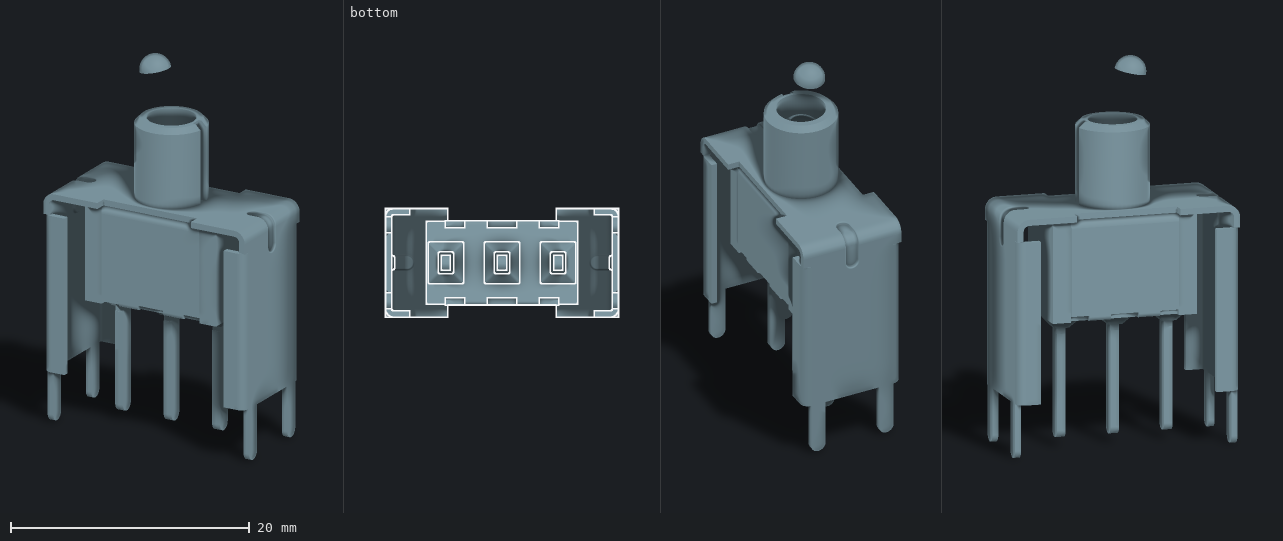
import cadquery as cq
import math


sheet = 0.53
overall_height = 33.13
bracket_length = 19.55
bracket_width = 9.15
bend_radius = 1.03
leg_bottom = -15.97
half_length = bracket_length / 2
bend_x = half_length - bend_radius
bend_z = -bend_radius

notch_length = 9.08
notch_depth = 1.03
waist_half_width = bracket_width / 2 - notch_depth

flange_reach = 2.05
flange_top = -2.0
flange_gap = 0.05
flange_bend_radius = 0.73

leg_pin_width = 1.33
leg_pin_tip = -20.7
leg_pin_y = bracket_width / 2 - flange_bend_radius - leg_pin_width / 2

bead_width = 1.4
bead_depth = 0.23
bead_round = bead_depth / 2
bead_on_top = 2.5
bead_on_leg = 3.25

case_length = 12.7
case_bottom = -9.38
case_half_width = 3.48
case_shoulder_z = -1.0
case_shoulder_inset = 0.05
panel_length = 9.48
panel_top_round = 0.75
panel_bottom_round = 0.35
panel_tab_height = 0.5
panel_tab_depth = 0.6
middle_tab_width = 2.45
end_tab_width = 1.62

terminal_pitch = 4.7
terminal_thickness = 0.75
terminal_width = 1.3
terminal_tip = -19.95
neck_width = 1.15
neck_bottom = -10.95
mound_base_length = 2.98
mound_margin = 0.25
mound_height = 1.03
mound_edge_round = 0.2

bushing_diameter = 6.25
bushing_height = 7.1
bushing_chamfer = 0.45
bore_diameter = 4.2
keyway_width = 1.0
keyway_floor_radius = 2.35
ball_z = 3.95
ball_wall = 0.1
lever_tilt = 12.4
lever_hole_diameter = 2.35
dome_diameter = 2.7
dome_radius = dome_diameter / 2
dome_top = leg_pin_tip + overall_height


def box(x0, x1, y0, y1, z0, z1):
    return cq.Workplane("XY").box(x1 - x0, y1 - y0, z1 - z0, centered=False).translate((x0, y0, z0))


def round_ended_pin(x0, thickness, y, width, top, tip):
    """Flat pin of the given thickness in +X, with a full round at its lower end."""
    radius = width / 2
    return (
        cq.Workplane("YZ", origin=(x0, 0, 0))
        .moveTo(y - radius, top)
        .lineTo(y - radius, tip + radius)
        .threePointArc((y, tip), (y + radius, tip + radius))
        .lineTo(y + radius, top)
        .close()
        .extrude(thickness)
    )


def make_top_plate():
    half_width = bracket_width / 2
    plate = box(-bend_x, bend_x, -half_width, half_width, -sheet, 0)
    for side in (-1, 1):
        notch = cq.Workplane("XY").box(notch_length, 2 * notch_depth, 4 * sheet)
        plate = plate.cut(notch.translate((0, side * half_width, 0)))
    return plate


def make_bend():
    """Quarter-round bend at the +X end, with the short full-width wall below it."""
    bend = (
        cq.Workplane("XZ", origin=(bend_x, bracket_width / 2, bend_z))
        .circle(bend_radius)
        .circle(bend_radius - sheet)
        .extrude(bracket_width)
    )
    half_width = bracket_width / 2
    quarter = box(bend_x, half_length, -half_width, half_width, bend_z, 0)
    wall_bottom = flange_top + flange_gap
    wall = box(half_length - sheet, half_length, -half_width, half_width, wall_bottom, bend_z)
    neck_half_width = half_width - flange_bend_radius
    neck = box(half_length - sheet, half_length, -neck_half_width, neck_half_width, flange_top, wall_bottom)
    return bend.intersect(quarter).union(wall).union(neck)


def make_leg():
    """Channel-shaped leg at the +X end with its two solder pins."""
    height = flange_top - leg_bottom
    outer = (
        cq.Workplane("XY", origin=(half_length - flange_reach, 0, leg_bottom))
        .rect(2 * flange_reach, bracket_width)
        .extrude(height)
        .edges("|Z and >X")
        .fillet(flange_bend_radius)
    )
    inner = (
        cq.Workplane("XY", origin=(half_length - flange_reach - sheet, 0, leg_bottom))
        .rect(2 * flange_reach, bracket_width - 2 * sheet)
        .extrude(height)
        .edges("|Z and >X")
        .fillet(flange_bend_radius - sheet)
    )
    half_width = bracket_width / 2
    kept = box(half_length - flange_reach, half_length, -half_width, half_width, leg_bottom, flange_top)
    leg = outer.cut(inner).intersect(kept)
    for side in (-1, 1):
        pin = round_ended_pin(
            half_length - sheet, sheet, side * leg_pin_y, leg_pin_width, leg_bottom + sheet, leg_pin_tip
        )
        leg = leg.union(pin)
    return leg


def make_bead(surface_depth):
    """S-walled bead around the +X bend, starting at this depth below the outer sheet face."""
    top_z = -surface_depth
    mid_z = top_z - bead_round
    floor_z = top_z - bead_depth
    top_y = bead_width / 2
    mid_y = top_y - bead_round
    floor_y = top_y - bead_depth
    bow = bead_round * math.sqrt(0.5)

    def half_section(x, side):
        """Half of the bead section on the +Y or -Y side, with its wall of two quarter rounds."""
        return (
            cq.Workplane("YZ", origin=(x, 0, 0))
            .moveTo(0, top_z)
            .lineTo(side * top_y, top_z)
            .threePointArc((side * (top_y - bow), mid_z + bow), (side * mid_y, mid_z))
            .threePointArc((side * (floor_y + bow), mid_z - bow), (side * floor_y, floor_z))
            .lineTo(0, floor_z)
            .close()
        )

    def arm(length, direction):
        end = half_section(bend_x + direction * length, 1).revolve(360, (0, 0, 0), (0, 1, 0))
        for side in (-1, 1):
            end = end.union(half_section(bend_x, side).extrude(direction * length))
        return end

    end_inset = bend_radius + bead_width / 2
    bead = arm(bead_on_top - end_inset, -1)
    leg_arm = arm(bead_on_leg - end_inset, 1).rotate((bend_x, 0, bend_z), (bend_x, 1, bend_z), 90)
    bead = bead.union(leg_arm)
    for side in (-1, 1):
        bead = bead.union(half_section(bend_x, side).revolve(90, (0, bend_z, 0), (1, bend_z, 0)))
    return bead


def make_bracket():
    end = make_bend().union(make_leg())
    bracket = make_top_plate().union(end).union(end.mirror("YZ"))
    raised_bead = make_bead(sheet)
    sunk_bead = make_bead(0)
    bracket = bracket.union(raised_bead).union(raised_bead.mirror("YZ"))
    return bracket.cut(sunk_bead).cut(sunk_bead.mirror("YZ"))


def make_case():
    half_case = case_length / 2
    shoulder_width = case_half_width - case_shoulder_inset
    lower = box(-half_case, half_case, -case_half_width, case_half_width, case_bottom, case_shoulder_z)
    upper = box(-half_case, half_case, -shoulder_width, shoulder_width, case_shoulder_z, -sheet)
    half_panel = panel_length / 2
    panel_space = box(-half_panel, half_panel, -waist_half_width, waist_half_width, case_bottom, -sheet)
    panel = panel_space.edges("|X and >Z").fillet(panel_top_round)
    panel = panel.edges("|X and <Z").fillet(panel_bottom_round)
    case = lower.union(upper).cut(panel_space).union(panel)

    tab_top = case_bottom + panel_tab_height
    tab_half_width = waist_half_width - panel_tab_depth
    tab_spans = (
        (-half_panel, end_tab_width - half_panel),
        (-middle_tab_width / 2, middle_tab_width / 2),
        (half_panel - end_tab_width, half_panel),
    )
    for x0, x1 in tab_spans:
        recess = box(x0, x1, -waist_half_width, waist_half_width, case_bottom, tab_top)
        tab = box(x0, x1, -tab_half_width, tab_half_width, case_bottom, tab_top)
        case = case.cut(recess).union(tab)
    return case


def make_mound(x):
    """Tapered rectangular mound of sealing resin around a terminal."""
    tip_length = terminal_thickness + 2 * mound_margin
    side_run = (mound_base_length - tip_length) / 2
    base_width = terminal_width + 2 * mound_margin + 2 * side_run
    taper = math.degrees(math.atan2(side_run, mound_height))
    return (
        cq.Workplane("XY", origin=(x, 0, case_bottom))
        .rect(mound_base_length, base_width)
        .extrude(-mound_height, taper=taper)
        .edges("not(#Z)")
        .fillet(mound_edge_round)
    )


def make_terminal(x):
    x0 = x - terminal_thickness / 2
    blade = round_ended_pin(x0, terminal_thickness, 0, terminal_width, neck_bottom, terminal_tip)
    neck = box(x0, x0 + terminal_thickness, -neck_width / 2, neck_width / 2, neck_bottom, case_bottom)
    return blade.union(neck).union(make_mound(x))


def tilted(shape):
    """Lean a lever feature toward -X about the centre of the ball."""
    return shape.rotate((0, 0, ball_z), (0, 1, ball_z), -lever_tilt)


def make_bushing():
    bushing = (
        cq.Workplane("XY", origin=(0, 0, -sheet))
        .circle(bushing_diameter / 2)
        .extrude(bushing_height + sheet)
        .faces(">Z")
        .chamfer(bushing_chamfer)
    )
    bore = cq.Workplane("XY", origin=(0, 0, ball_z)).circle(bore_diameter / 2).extrude(bushing_height)
    keyway = box(
        keyway_floor_radius, bushing_diameter, -keyway_width / 2, keyway_width / 2, 0, bushing_height
    )
    return bushing.cut(bore).cut(keyway)


def add_ball_socket(body):
    """Hollow ball that closes the bore, open at the top where the lever leans out."""
    ball = cq.Workplane("XY", origin=(0, 0, ball_z)).sphere(bore_diameter / 2)
    cavity = cq.Workplane("XY", origin=(0, 0, ball_z)).sphere(bore_diameter / 2 - ball_wall)
    hole = cq.Workplane("XY", origin=(0, 0, ball_z)).circle(lever_hole_diameter / 2).extrude(bore_diameter)
    return body.union(ball).cut(tilted(cavity)).cut(tilted(hole))


def make_switch():
    switch = make_bracket().union(make_case()).union(make_bushing())
    for position in (-1, 0, 1):
        switch = switch.union(make_terminal(position * terminal_pitch))
    return add_ball_socket(switch)


def make_lever_tip():
    """Hemispherical tip of the lever, standing clear above the bushing."""
    reach = (dome_top - dome_radius - ball_z) / math.cos(math.radians(lever_tilt))
    centre_z = ball_z + reach
    dome = cq.Workplane("XY", origin=(0, 0, centre_z)).sphere(dome_radius)
    upper_half = box(-dome_radius, dome_radius, -dome_radius, dome_radius, centre_z, centre_z + dome_radius)
    return tilted(dome.intersect(upper_half))


switch = make_switch()
lever_tip = make_lever_tip()

result = cq.Compound.makeCompound([switch.val(), lever_tip.val()])